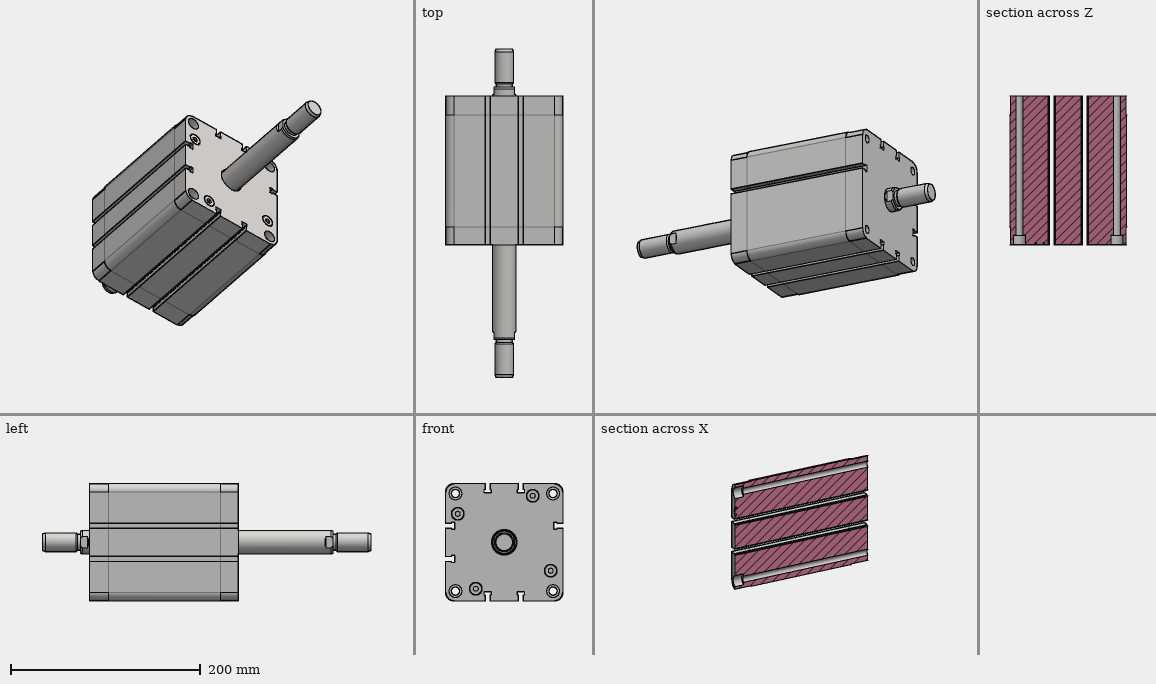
import math

import cadquery as cq


HOUSING_SIDE = 124.0
FRONT_CAP_LENGTH = 19.0
TUBE_LENGTH = 118.0
REAR_CAP_LENGTH = 20.0
HOUSING_LENGTH = FRONT_CAP_LENGTH + TUBE_LENGTH + REAR_CAP_LENGTH
CORNER_RADIUS = 8.9
CAP_CORNER_INSET = 0.7

SLOT_OFFSET = 17.5
SLOT_MOUTH_WIDTH = 5.0
SLOT_FLOOR_WIDTH = 7.2
SLOT_LIP_DEPTH = 6.5
SLOT_DEPTH = 9.7
SLOT_CHAMFER_WIDTH = 0.5
SLOT_CHAMFER_DEPTH = 0.2
TOP, RIGHT, BOTTOM, LEFT = 0, 90, 180, 270
SLOTS = [(TOP, -1), (TOP, 1), (BOTTOM, -1), (BOTTOM, 1), (LEFT, -1), (LEFT, 1), (RIGHT, -1)]

MOUNT_OFFSET = 51.45
MOUNT_HOLE_DIAMETER = 8.38
MOUNT_BORE_DIAMETER = 13.5
MOUNT_BORE_DEPTH = 10.0

SCREW_NEAR_OFFSET = 30.0
SCREW_FAR_OFFSET = 49.0
SCREW_BORE_DIAMETER = 13.5
SCREW_HEAD_DIAMETER = 12.5
SCREW_GROOVE_DEPTH = 2.0
SCREW_SOCKET_ACROSS_FLATS = 5.0
SCREW_SOCKET_DEPTH = 3.0

ROD_DIAMETER = 25.0
ROD_SEAL_DIAMETER = 27.0
ROD_SEAL_DEPTH = 2.0
FRONT_ROD_REACH = 100.0
REAR_ROD_REACH = 9.5
SHOULDER_CHAMFER_LENGTH = 2.0
SHOULDER_CHAMFER_DEPTH = 0.8
THREAD_DIAMETER = 20.0
THREAD_CORE_DIAMETER = 17.2
THREAD_TIP_DIAMETER = 17.5
THREAD_LENGTH = 40.0
THREAD_UNDERCUT_LENGTH = 3.0
THREAD_TIP_LENGTH = 3.2
WRENCH_ACROSS_FLATS = 22.0
WRENCH_FLAT_LENGTH = 7.3

CUT_MARGIN = 1.0


def front_plane(y=0.0):
    """Plane across the rod axis: local x is X, local y is Z, and extrusion runs toward -Y."""
    return cq.Workplane("XZ", origin=(0, y, 0))


def four_corners(offset):
    return [(x * offset, z * offset) for x in (-1, 1) for z in (-1, 1)]


def turned(shape, angle):
    """Turn a shape clockwise about the rod axis, as seen from the front."""
    return shape.rotate((0, 0, 0), (0, 1, 0), angle)


def rounded_section(start, length, arc_radius):
    """Square bar whose corners are replaced by arcs centred CORNER_RADIUS in from both sides."""
    arc_center = HOUSING_SIDE / 2 - CORNER_RADIUS
    arc_places = four_corners(arc_center)
    corner_squares = four_corners((HOUSING_SIDE - CORNER_RADIUS) / 2)
    plane = front_plane(start)
    bar = plane.rect(HOUSING_SIDE, HOUSING_SIDE).extrude(-length)
    corners = plane.pushPoints(corner_squares).rect(CORNER_RADIUS, CORNER_RADIUS).extrude(-length)
    rounds = plane.pushPoints(arc_places).circle(arc_radius).extrude(-length)
    return bar.cut(corners).union(rounds)


def housing_section(start, length, arc_radius):
    section = rounded_section(start, length, arc_radius)
    for angle, side in SLOTS:
        section = section.cut(slot_cutter(angle, side))
    return section


def housing():
    """Tube between two caps whose corner arcs stand slightly below those of the tube."""
    cap_arc_radius = CORNER_RADIUS - CAP_CORNER_INSET
    front_cap = housing_section(0, FRONT_CAP_LENGTH, cap_arc_radius)
    tube = housing_section(FRONT_CAP_LENGTH, TUBE_LENGTH, CORNER_RADIUS)
    rear_cap = housing_section(FRONT_CAP_LENGTH + TUBE_LENGTH, REAR_CAP_LENGTH, cap_arc_radius)
    return front_cap.union(tube, clean=False).union(rear_cap, clean=False)


def slot_cutter(angle, side):
    top = HOUSING_SIDE / 2
    half_mouth = SLOT_MOUTH_WIDTH / 2
    half_floor = SLOT_FLOOR_WIDTH / 2
    right_half = [
        (half_mouth + SLOT_CHAMFER_WIDTH, top),
        (half_mouth, top - SLOT_CHAMFER_DEPTH),
        (half_mouth, top - SLOT_LIP_DEPTH),
        (half_floor, top - SLOT_LIP_DEPTH),
        (half_floor, top - SLOT_DEPTH),
    ]
    left_half = [(-x, z) for x, z in reversed(right_half)]
    cutter = front_plane().polyline(right_half + left_half).close().extrude(-HOUSING_LENGTH)
    return turned(cutter.translate((side * SLOT_OFFSET, 0, 0)), angle)


def mounting_holes():
    places = four_corners(MOUNT_OFFSET)
    holes = front_plane().pushPoints(places).circle(MOUNT_HOLE_DIAMETER / 2).extrude(-HOUSING_LENGTH)
    bores = front_plane().pushPoints(places).circle(MOUNT_BORE_DIAMETER / 2).extrude(-MOUNT_BORE_DEPTH)
    return holes.union(bores)


def screw_recess(angle):
    """Ring groove around a flush screw head, and the head's hexagon socket."""
    center = (SCREW_NEAR_OFFSET, SCREW_FAR_OFFSET)
    groove = (
        front_plane()
        .center(*center)
        .circle(SCREW_BORE_DIAMETER / 2)
        .circle(SCREW_HEAD_DIAMETER / 2)
        .extrude(-SCREW_GROOVE_DEPTH)
    )
    socket_diameter = SCREW_SOCKET_ACROSS_FLATS / math.cos(math.pi / 6)
    socket = front_plane().center(*center).polygon(6, socket_diameter).extrude(-SCREW_SOCKET_DEPTH)
    return turned(groove.union(socket), angle)


def rod_seal_recess():
    return front_plane().circle(ROD_SEAL_DIAMETER / 2).extrude(-ROD_SEAL_DEPTH)


def rod_end(shoulder, reach_inside):
    """Rod from inside the housing out to its threaded tip, along +Y with its shoulder at the given Y."""
    rod_radius = ROD_DIAMETER / 2
    thread_radius = THREAD_DIAMETER / 2
    core_radius = THREAD_CORE_DIAMETER / 2
    thread_start = shoulder + THREAD_UNDERCUT_LENGTH + (thread_radius - core_radius)
    tip = shoulder + THREAD_LENGTH
    profile = [
        (0, -reach_inside),
        (rod_radius, -reach_inside),
        (rod_radius, shoulder - SHOULDER_CHAMFER_LENGTH),
        (rod_radius - SHOULDER_CHAMFER_DEPTH, shoulder),
        (core_radius, shoulder),
        (core_radius, shoulder + THREAD_UNDERCUT_LENGTH),
        (thread_radius, thread_start),
        (thread_radius, tip - THREAD_TIP_LENGTH),
        (THREAD_TIP_DIAMETER / 2, tip),
        (0, tip),
    ]
    rod = cq.Workplane("XY").polyline(profile).close().revolve(360, (0, 0, 0), (0, 1, 0))
    flat = wrench_flat_cutter(shoulder)
    return rod.cut(flat).cut(flat.mirror("YZ"))


def wrench_flat_cutter(shoulder):
    """Removes one wrench flat, which runs out to the rod surface at 45 degrees."""
    flat_x = WRENCH_ACROSS_FLATS / 2
    outer_x = ROD_DIAMETER / 2 + CUT_MARGIN
    flat_end = shoulder - WRENCH_FLAT_LENGTH
    outline = [
        (flat_x, shoulder),
        (flat_x, flat_end),
        (outer_x, flat_end - (outer_x - flat_x)),
        (outer_x, shoulder),
    ]
    return cq.Workplane("XY").polyline(outline).close().extrude(ROD_DIAMETER / 2, both=True)


result = housing()
result = result.cut(mounting_holes(), clean=False)
for screw_angle in (0, 90, 180, 270):
    result = result.cut(screw_recess(screw_angle), clean=False)
result = result.cut(rod_seal_recess(), clean=False)

front_rod = rod_end(FRONT_ROD_REACH, ROD_SEAL_DEPTH).mirror("XZ")
rear_rod = rod_end(REAR_ROD_REACH, 0).translate((0, HOUSING_LENGTH, 0))
result = result.union(front_rod, clean=False).union(rear_rod, clean=False)